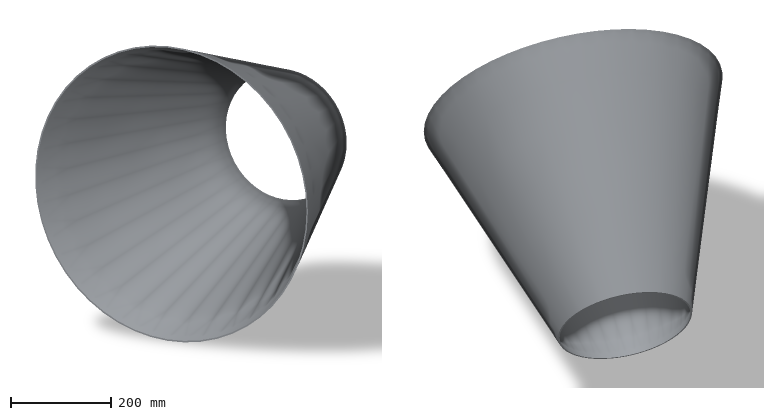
import cadquery as cq

large_diameter = 609.5
small_diameter = 273.0
length = 508.0
wall = 3.2

large_radius = large_diameter / 2
small_radius = small_diameter / 2


def wall_section():
    """Half section of the sloping wall, drawn beside the Y axis."""
    return cq.Workplane("XY").polyline([
        (large_radius - wall, 0),
        (large_radius, 0),
        (small_radius, length),
        (small_radius - wall, length),
    ]).close()


result = wall_section().revolve(360, (0, 0, 0), (0, 1, 0))